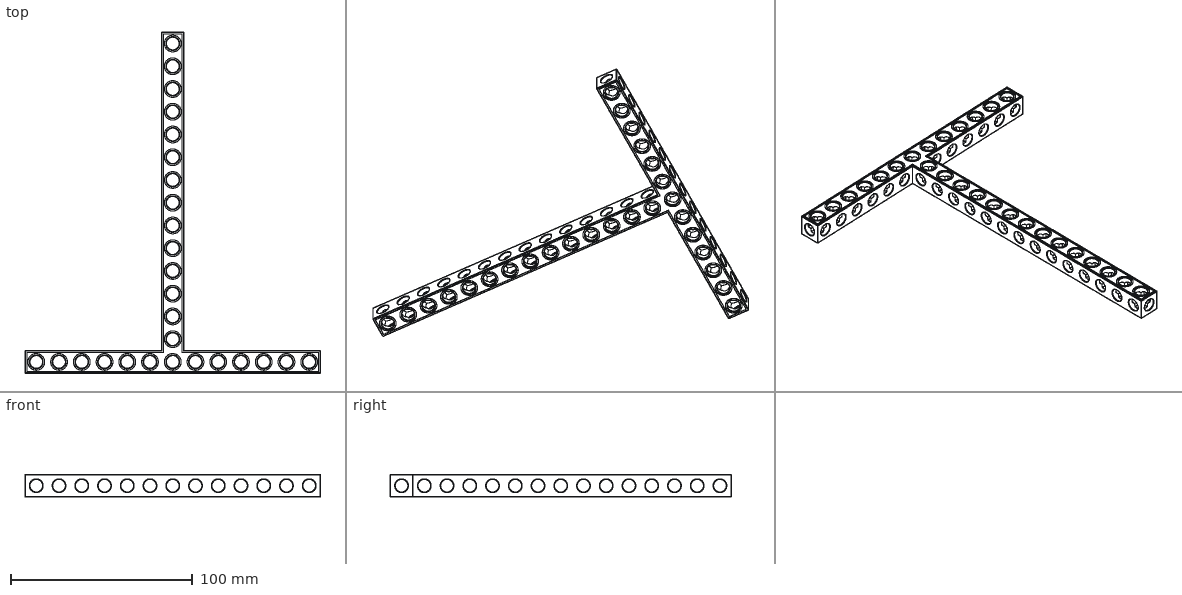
import cadquery as cq
total_length = 187.5
stem_hole_count = 15
bar_hole_count = 13
collar_diameter = 9.2
edge_chamfer = 0.3
rim_width = 0.8
recess_depth = 0.2
cutter_overrun = 1.9

pitch = total_length / stem_hole_count
beam_width = pitch
bar_length = bar_hole_count * pitch
stem_centre = (0, (total_length - beam_width) / 2, 0)
recess_inset = edge_chamfer + rim_width
bore_diameter = collar_diameter - 2 * recess_inset

bar_positions = [((i - (bar_hole_count - 1) / 2) * pitch, 0, 0) for i in range(bar_hole_count)]
stem_positions = [(0, i * pitch, 0) for i in range(1, stem_hole_count)]
bar_cross_positions = [position for position in bar_positions if position[0] != 0]


def tee(inset, height):
    """T-shaped block whose outline is moved inwards by the inset."""
    beam = beam_width - 2 * inset
    bar = cq.Workplane("XY").box(bar_length - 2 * inset, beam, height)
    stem = cq.Workplane("XY").box(beam, total_length - 2 * inset, height)
    return bar.union(stem.translate(stem_centre))


def chamfered_tee():
    """Full-size T with every outer edge chamfered except the two inside corners."""
    block = tee(0, beam_width)
    inside_corners = cq.selectors.BoxSelector(
        (-pitch, 0, -beam_width), (pitch, pitch, beam_width)
    )
    end_corners = block.edges(cq.selectors.SubtractSelector(
        cq.selectors.ParallelDirSelector(cq.Vector(0, 0, 1)), inside_corners
    ))
    face_outlines = block.faces("<Z or >Z").edges()
    return end_corners.add(face_outlines).chamfer(edge_chamfer)


def bore(length):
    """Round cutter along Z, flared by the chamfer at both mouths."""
    radius = bore_diameter / 2
    mouth = radius + edge_chamfer
    half = length / 2
    profile = [
        (0, -half - cutter_overrun),
        (mouth, -half - cutter_overrun),
        (mouth, -half),
        (radius, -half + edge_chamfer),
        (radius, half - edge_chamfer),
        (mouth, half),
        (mouth, half + cutter_overrun),
        (0, half + cutter_overrun),
    ]
    return cq.Workplane("XZ").polyline(profile).close().revolve(360, (0, 0), (0, 1))


def face_recess():
    """Shallow T-shaped panel that leaves a rim at the outline and a collar round each hole."""
    panel = tee(recess_inset, recess_depth)
    collar = cq.Workplane("XY").cylinder(recess_depth, collar_diameter / 2)
    return cut_at(panel, collar, bar_positions + stem_positions)


def along_x(cutter):
    return cutter.rotate((0, 0, 0), (0, 1, 0), 90)


def along_y(cutter):
    return cutter.rotate((0, 0, 0), (1, 0, 0), 90)


def cut_at(body, cutter, positions):
    """Cut one copy of the cutter at every position."""
    for position in positions:
        body = body.cut(cutter.translate(position))
    return body


recess_offset = (beam_width - recess_depth) / 2
body = cut_at(chamfered_tee(), face_recess(), [(0, 0, recess_offset), (0, 0, -recess_offset)])

body = cut_at(body, bore(beam_width), bar_positions + stem_positions)
body = cut_at(body, along_y(bore(beam_width)), bar_cross_positions)
body = cut_at(body, along_x(bore(beam_width)), stem_positions)

body = body.cut(along_x(bore(bar_length)))
body = body.cut(along_y(bore(total_length)).translate(stem_centre))

result = body